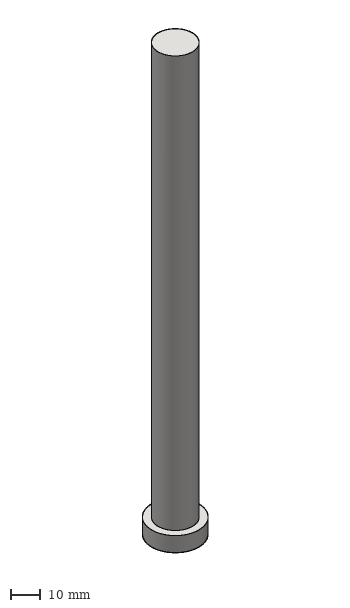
import cadquery as cq

total_length = 200.0

head_diameter = 22.0
head_height = 7.0

shank_diameter = 16.0
shank_length = total_length - head_height

head = cq.Workplane("XY").circle(head_diameter / 2).extrude(head_height)
result = head.faces(">Z").workplane().circle(shank_diameter / 2).extrude(shank_length)